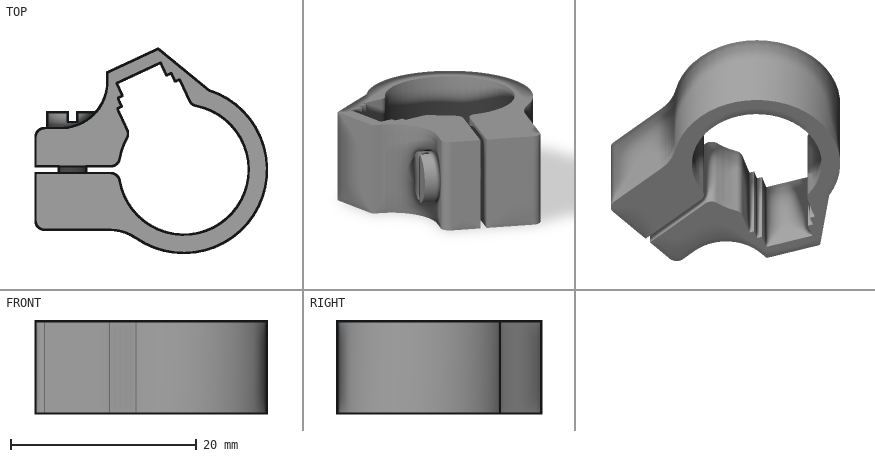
import cadquery as cq
import math

width = 10.0
bore_radius = 7.0
ring_radius = 9.0

jaw_end_x = -16.0
jaw_top_y = 4.5
jaw_bottom_y = -6.5
slit_width = 0.7
jaw_corner_radius = 1.0
slit_mouth_radius = 1.0
jaw_blend_radius = 5.0

hood_tilt = 25.0
hood_top = 13.0
hood_half_width = 3.02
hood_wall_x = -8.25
hood_flank_angle = 72.5

pocket_steps = [(2.6, 11.5), (3.17, 10.0), (3.7, 9.0)]
pocket_lip_radius = 1.0

screw_x = -12.0
screw_diameter = 3.0
screw_end_y = -5.0
head_diameter = 5.5
head_height = 1.7
head_slot_width = 1.0
head_slot_depth = 1.05
counterbore_diameter = 5.8


def tilted(across, along):
    """Point given across and along the hood's tilted direction."""
    angle = math.radians(hood_tilt)
    x = across * math.cos(angle) - along * math.sin(angle)
    y = across * math.sin(angle) + along * math.cos(angle)
    return (x, y)


def prism(points):
    return cq.Workplane("XY").polyline(points).close().extrude(width)


def y_cylinder(diameter, y_start, y_end):
    """Cylinder on the screw axis between two Y levels."""
    plane = cq.Plane(origin=(screw_x, y_start, width / 2), xDir=(1, 0, 0), normal=(0, 1, 0))
    return cq.Workplane(plane).circle(diameter / 2).extrude(y_end - y_start)


def round_edge(body, point, radius):
    """Fillet the upright edge that passes nearest to an XY point."""
    x, y = point
    edge = cq.NearestToPointSelector((x, y, width / 2))
    return body.edges("|Z").edges(edge).fillet(radius)


def make_blank():
    """Solid ring disc joined to the jaw block and the hood."""
    disc = cq.Workplane("XY").circle(ring_radius).extrude(width)
    jaws = prism([
        (jaw_end_x, jaw_bottom_y),
        (0, jaw_bottom_y),
        (0, jaw_top_y),
        (jaw_end_x, jaw_top_y),
    ])
    angle = math.radians(hood_tilt)
    wall_across = (hood_wall_x + hood_top * math.sin(angle)) / math.cos(angle)
    flank = math.radians(hood_flank_angle)
    hood = prism([
        (hood_wall_x, 0),
        tilted(wall_across, hood_top),
        tilted(hood_half_width, hood_top),
        (ring_radius * math.cos(flank), ring_radius * math.sin(flank)),
        (0, 0),
    ])
    return disc.union(jaws).union(hood)


def cut_openings(body):
    """Bore, slit between the jaws and stepped pocket under the hood."""
    body = body.cut(cq.Workplane("XY").circle(bore_radius).extrude(width))
    half_slit = slit_width / 2
    body = body.cut(prism([
        (jaw_end_x, -half_slit),
        (0, -half_slit),
        (0, half_slit),
        (jaw_end_x, half_slit),
    ]))
    for half_width, top in pocket_steps:
        body = body.cut(prism([
            tilted(-half_width, 0),
            tilted(half_width, 0),
            tilted(half_width, top),
            tilted(-half_width, top),
        ]))
    return body


def round_edges(body):
    for y in (jaw_top_y, jaw_bottom_y):
        body = round_edge(body, (jaw_end_x, y), jaw_corner_radius)

    body = round_edge(body, (hood_wall_x, jaw_top_y), jaw_blend_radius)
    ring_joint_x = -math.sqrt(ring_radius**2 - jaw_bottom_y**2)
    body = round_edge(body, (ring_joint_x, jaw_bottom_y), jaw_blend_radius)

    half_slit = slit_width / 2
    slit_mouth_x = -math.sqrt(bore_radius**2 - half_slit**2)
    for y in (half_slit, -half_slit):
        body = round_edge(body, (slit_mouth_x, y), slit_mouth_radius)
    mouth_half_width = pocket_steps[-1][0]
    mouth_along = math.sqrt(bore_radius**2 - mouth_half_width**2)
    for across in (-mouth_half_width, mouth_half_width):
        body = round_edge(body, tilted(across, mouth_along), pocket_lip_radius)
    return body


def cut_counterbore(body):
    """Clear the blend around the screw head, down to the jaw's top face."""
    return body.cut(y_cylinder(counterbore_diameter, jaw_top_y, hood_top))


def make_screw():
    head_top_y = jaw_top_y + head_height
    shank = y_cylinder(screw_diameter, screw_end_y, jaw_top_y)
    head = y_cylinder(head_diameter, jaw_top_y, head_top_y)
    slot = cq.Workplane("XY").box(head_slot_width, head_slot_depth, width).translate(
        (screw_x, head_top_y - head_slot_depth / 2, width / 2)
    )
    return shank.union(head.cut(slot))


clamp = cut_counterbore(round_edges(cut_openings(make_blank())))
result = clamp.union(make_screw())